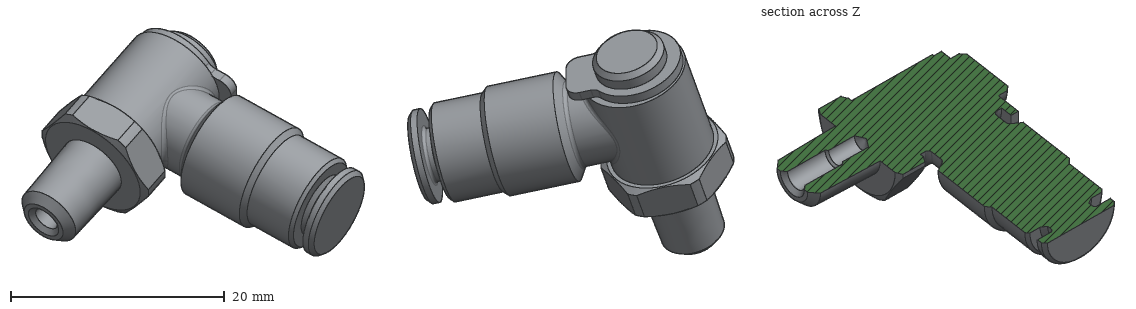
import cadquery as cq
import math


overall_length = 28.3

body_diameter = 10.0
body_half_length = 4.98
cap_diameter = 6.93
cap_top_y = 7.47
cap_chamfer = 0.5
branch_root_fillet = 0.42

clip_thickness = 0.93
clip_diameter = 9.0
clip_center_x = -0.28
tongue_width = 5.1
tongue_tip_x = 6.35
tongue_tip_radius = 1.3
tongue_root_fillet = 1.0

hex_across_flats = 11.0
hex_corner_diameter = 12.17
hex_face_diameter = 10.8
hex_length = 3.5
hex_chamfer_angle = 30.0

stem_base_diameter = 6.5
stem_tip_diameter = 6.15
stem_length = 8.05
stem_tip_chamfer = 0.85

bore_mouth_diameter = 3.45
bore_diameter = 2.5
bore_depth = 5.1
pilot_diameter = 2.0
pilot_depth = 8.5
drill_point_angle = 118.0

neck_diameter = 8.0
neck_end_x = 6.74
sleeve_diameter = 10.5
sleeve_start_x = 7.78
sleeve_fillet = 0.473
sleeve_cone_angle = 57.0
sleeve_end_x = 14.45
collar_diameter = 9.5
collar_start_x = 15.0
collar_end_x = 20.06
collar_chamfer = 0.35
groove_diameter = 5.1
groove_mouth_diameter = 6.35
groove_start_x = 20.43
flange_diameter = 9.0
flange_start_x = 21.2
flange_end_x = overall_length - hex_corner_diameter / 2
flange_chamfer = 0.4
flange_fillet = 0.3

clip_top_y = body_half_length + clip_thickness
hex_end_y = -body_half_length - hex_length
stem_end_y = hex_end_y - stem_length


def revolve_about_y(profile):
    """Turn a closed (radius, y) profile about the swivel axis."""
    return profile.close().revolve(360, (0, 0, 0), (0, 1, 0))


def disc_y(diameter, start_y, end_y):
    """Cylinder on the swivel axis between two Y stations."""
    plane = cq.Workplane("XZ", origin=(0, start_y, 0))
    return plane.circle(diameter / 2).extrude(start_y - end_y)


def make_branch():
    """Turned push-in branch, starting inside the swivel body."""
    neck_r = neck_diameter / 2
    sleeve_r = sleeve_diameter / 2
    collar_r = collar_diameter / 2
    groove_r = groove_diameter / 2
    flange_r = flange_diameter / 2

    def neck_arc_point(angle):
        turn = math.radians(angle)
        x = neck_end_x + sleeve_fillet * math.sin(turn)
        return x, neck_r + sleeve_fillet * (1 - math.cos(turn))

    arc_inset = flange_fillet * (1 - math.sqrt(0.5))
    arc_middle = (flange_start_x - arc_inset, groove_r + arc_inset)
    profile = (
        cq.Workplane("XY")
        .lineTo(0, neck_r)
        .lineTo(neck_end_x, neck_r)
        .threePointArc(neck_arc_point(sleeve_cone_angle / 2), neck_arc_point(sleeve_cone_angle))
        .lineTo(sleeve_start_x, sleeve_r)
        .lineTo(sleeve_end_x, sleeve_r)
        .lineTo(collar_start_x, collar_r)
        .lineTo(collar_end_x - collar_chamfer, collar_r)
        .lineTo(collar_end_x, collar_r - collar_chamfer)
        .lineTo(collar_end_x, groove_mouth_diameter / 2)
        .lineTo(groove_start_x, groove_r)
        .lineTo(flange_start_x - flange_fillet, groove_r)
        .threePointArc(arc_middle, (flange_start_x, groove_r + flange_fillet))
        .lineTo(flange_start_x, flange_r)
        .lineTo(flange_end_x - flange_chamfer, flange_r)
        .lineTo(flange_end_x, flange_r - flange_chamfer)
        .lineTo(flange_end_x, 0)
        .close()
    )
    return profile.revolve(360, (0, 0, 0), (1, 0, 0))


def make_elbow():
    """Swivel body joined to the branch, with a fillet around the joint."""
    body = disc_y(body_diameter, body_half_length, -body_half_length)
    elbow = body.union(make_branch())
    rim_margin = 0.28
    joint = cq.selectors.BoxSelector(
        (0, -neck_diameter, -neck_diameter),
        (body_diameter / 2, neck_diameter, neck_diameter),
    )
    body_rims = cq.selectors.BoxSelector(
        (-body_diameter, -body_half_length + rim_margin, -body_diameter),
        (body_diameter, body_half_length - rim_margin, body_diameter),
    )
    return elbow.edges(joint).edges(body_rims).edges("not |Y").fillet(branch_root_fillet)


def make_cap():
    cap = disc_y(cap_diameter, cap_top_y, body_half_length)
    return cap.faces(">Y").chamfer(cap_chamfer)


def make_clip():
    plane = cq.Workplane("XZ", origin=(0, clip_top_y, 0))
    disc = plane.center(clip_center_x, 0).circle(clip_diameter / 2).extrude(clip_thickness)
    tongue = (
        plane.center(tongue_tip_x / 2, 0)
        .rect(tongue_tip_x, tongue_width)
        .extrude(clip_thickness)
        .edges("|Y and >X")
        .fillet(tongue_tip_radius)
    )
    clip = disc.union(tongue)
    roots = cq.selectors.BoxSelector(
        (clip_diameter / 4, 0, -tongue_width),
        (clip_diameter / 2, body_diameter, tongue_width),
    )
    return clip.edges("|Y").edges(roots).fillet(tongue_root_fillet)


def make_hex():
    """Hexagon with flats facing Z, turned down at its corners and both faces."""
    corner_r = hex_corner_diameter / 2
    face_r = hex_face_diameter / 2
    chamfer_y = (corner_r - face_r) * math.tan(math.radians(hex_chamfer_angle))
    prism = (
        cq.Workplane("XZ", origin=(0, -body_half_length, 0))
        .polygon(6, hex_across_flats / math.cos(math.pi / 6))
        .extrude(hex_length)
    )
    envelope = revolve_about_y(
        cq.Workplane("XY")
        .moveTo(0, -body_half_length)
        .lineTo(face_r, -body_half_length)
        .lineTo(corner_r, -body_half_length - chamfer_y)
        .lineTo(corner_r, hex_end_y + chamfer_y)
        .lineTo(face_r, hex_end_y)
        .lineTo(0, hex_end_y)
    )
    return prism.intersect(envelope)


def make_stem():
    tip_r = stem_tip_diameter / 2
    return revolve_about_y(
        cq.Workplane("XY")
        .moveTo(0, hex_end_y)
        .lineTo(stem_base_diameter / 2, hex_end_y)
        .lineTo(tip_r, stem_end_y + stem_tip_chamfer)
        .lineTo(tip_r - stem_tip_chamfer, stem_end_y)
        .lineTo(0, stem_end_y)
    )


def make_bore():
    """Countersunk bore stepping down to a pilot hole with a conical bottom."""
    mouth_r = bore_mouth_diameter / 2
    bore_r = bore_diameter / 2
    pilot_r = pilot_diameter / 2
    bore_end_y = stem_end_y + bore_depth
    pilot_end_y = stem_end_y + pilot_depth
    point_length = pilot_r / math.tan(math.radians(drill_point_angle / 2))
    return revolve_about_y(
        cq.Workplane("XY")
        .moveTo(0, stem_end_y)
        .lineTo(mouth_r, stem_end_y)
        .lineTo(bore_r, stem_end_y + mouth_r - bore_r)
        .lineTo(bore_r, bore_end_y)
        .lineTo(pilot_r, bore_end_y + bore_r - pilot_r)
        .lineTo(pilot_r, pilot_end_y)
        .lineTo(0, pilot_end_y + point_length)
    )


result = (
    make_elbow()
    .union(make_cap())
    .union(make_clip())
    .union(make_hex())
    .union(make_stem())
    .cut(make_bore())
)